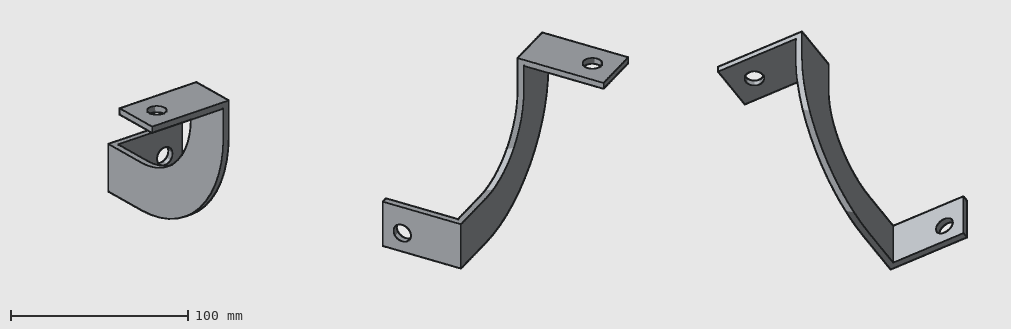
import cadquery as cq
import math

length = 106.0
height = 97.0
thickness = 4.0
strip_width = 30.0
outer_radius = 75.0
side_tab_length = 50.0
top_tab_length = 55.0
hole_diameter = 11.0
side_hole_end_distance = 12.5
side_hole_height = 12.5
top_hole_end_distance = 15.0

inner_radius = outer_radius - strip_width
bend_x = length - outer_radius
bend_z = outer_radius
inner_x = length - strip_width
top_tab_front = thickness - top_tab_length


def bend_midpoint(radius):
    """Point halfway along the quarter bend, in the XZ plane."""
    offset = radius * math.sqrt(0.5)
    return (bend_x + offset, bend_z - offset)


def curved_web():
    """Flat strip that turns from horizontal to vertical."""
    return (
        cq.Workplane("XZ")
        .moveTo(0, 0)
        .lineTo(bend_x, 0)
        .threePointArc(bend_midpoint(outer_radius), (length, bend_z))
        .lineTo(length, height)
        .lineTo(inner_x, height)
        .lineTo(inner_x, bend_z)
        .threePointArc(bend_midpoint(inner_radius), (bend_x, strip_width))
        .lineTo(0, strip_width)
        .close()
        .extrude(-thickness)
    )


def side_tab():
    """Upright tab with its hole, running toward +Y from the low end."""
    tab = cq.Workplane("XY").box(thickness, side_tab_length, strip_width, centered=False)
    hole = (
        cq.Workplane("YZ")
        .center(side_tab_length - side_hole_end_distance, side_hole_height)
        .circle(hole_diameter / 2)
        .extrude(thickness)
    )
    return tab.cut(hole)


def top_tab():
    """Level tab with its hole, running toward -Y from the high end."""
    base = cq.Workplane("XY").workplane(offset=height - thickness)
    tab = (
        base.moveTo(inner_x, top_tab_front)
        .rect(strip_width, top_tab_length, centered=False)
        .extrude(thickness)
    )
    hole = (
        base.center(inner_x + strip_width / 2, top_tab_front + top_hole_end_distance)
        .circle(hole_diameter / 2)
        .extrude(thickness)
    )
    return tab.cut(hole)


result = curved_web().union(side_tab()).union(top_tab())